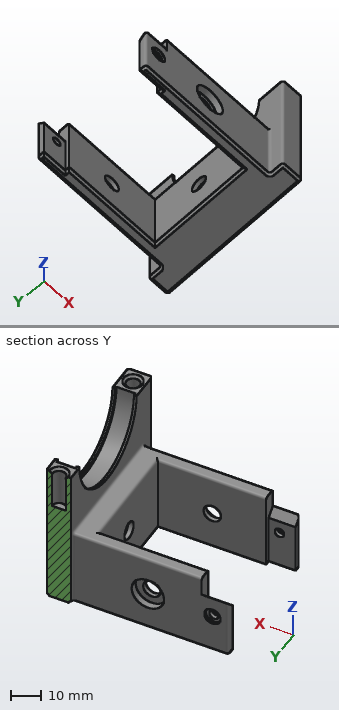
import cadquery as cq

plate_thickness = 9
plate_width = 62
plate_height = 55

bracket_length = 58
bracket_width = 50
bracket_height = 30
nominal_arm_thickness = 5
nominal_web_thickness = 8
opening_clearance = 0.2

tab_length = 10
tab_thickness = 3
tab_height = 23

seat_radius = 20
groove_radius = 21
groove_lip = 1

clamp_hole_diameter = 5
clamp_hole_depth = 15
clamp_hole_countersink = 1
countersink_taper = 45
clamp_hole_offset = 26

counterbore_floor = 2
hole_height = 15
pivot_position = 30
pivot_diameter = 6.4
pivot_counterbore_diameter = 12
tab_hole_position = 6
tab_hole_diameter = 3.4
tab_counterbore_diameter = 6
web_hole_diameter = 6.4
web_counterbore_diameter = 12

edge_radius = 1
corner_sliver = 0.001
bottom_chamfer = edge_radius - corner_sliver
selection_margin = 0.1

overall_length = bracket_length + plate_thickness
plate_center = bracket_length + plate_thickness / 2
outer_face = bracket_width / 2
arm_thickness = nominal_arm_thickness - opening_clearance
web_thickness = nominal_web_thickness - opening_clearance
opening_width = bracket_width - 2 * arm_thickness
opening_length = bracket_length - web_thickness
tab_inner_face = outer_face - tab_thickness
pivot_counterbore_depth = arm_thickness - counterbore_floor
tab_counterbore_depth = tab_thickness - counterbore_floor


def box(x_start, length, width, height):
    """Block centred on Y, standing on Z = 0 and starting at x_start."""
    block = cq.Workplane("XY").box(length, width, height, centered=(False, True, False))
    return block.translate((x_start, 0, 0))


def x_cylinder(x_start, length, radius, z):
    """Cylinder along +X in the middle plane of the part."""
    return cq.Workplane("YZ", origin=(x_start, 0, z)).circle(radius).extrude(length)


def y_hole(x, diameter, counterbore_diameter, counterbore_depth):
    """Hole across both arms, counterbored from the two outer faces."""
    base = cq.Workplane("XZ", origin=(x, outer_face, hole_height))
    cutter = base.circle(diameter / 2).extrude(bracket_width)
    pocket = base.circle(counterbore_diameter / 2).extrude(counterbore_depth)
    return cutter.union(pocket).union(pocket.mirror("XZ"))


def web_hole():
    """Hole through web and plate, counterbored from the back to leave a thin floor in the web."""
    pocket_start = opening_length + counterbore_floor
    pocket_length = overall_length - pocket_start
    hole = x_cylinder(opening_length, counterbore_floor, web_hole_diameter / 2, hole_height)
    pocket = x_cylinder(pocket_start, pocket_length, web_counterbore_diameter / 2, hole_height)
    return hole.union(pocket)


def bracket_and_plate():
    """Bracket and plate blocks with rounded upright edges, before the horizontal edges are finished."""
    bracket = box(0, bracket_length, bracket_width, bracket_height)
    bracket = bracket.edges("|Z and <X").fillet(edge_radius)
    plate = box(bracket_length, plate_thickness, plate_width, plate_height)
    plate = plate.edges("|Z").fillet(edge_radius)
    opening = box(0, opening_length, opening_width, bracket_height)
    return bracket.cut(opening).cut(tab_step()).union(plate)


def tab_step():
    """Material removed above and between the tabs, leaving sloped tab tops."""
    slope_bottom = tab_height - tab_thickness
    profile = (
        cq.Workplane("YZ")
        .moveTo(-tab_inner_face, 0)
        .lineTo(tab_inner_face, 0)
        .lineTo(tab_inner_face, slope_bottom)
        .lineTo(outer_face, tab_height)
        .lineTo(outer_face, bracket_height)
        .lineTo(-outer_face, bracket_height)
        .lineTo(-outer_face, tab_height)
        .lineTo(-tab_inner_face, slope_bottom)
        .close()
    )
    return profile.extrude(tab_length)


def finish_edges(body):
    """Round the bracket's top edges and its joint with the plate, chamfer the underside."""
    top_edges = cq.selectors.BoxSelector(
        (tab_length + selection_margin, -outer_face - selection_margin, bracket_height - selection_margin),
        (bracket_length - selection_margin, outer_face + selection_margin, bracket_height + selection_margin),
    )
    joint_edges = cq.selectors.BoxSelector(
        (bracket_length - selection_margin, -outer_face - selection_margin, selection_margin),
        (bracket_length + selection_margin, outer_face + selection_margin, bracket_height + selection_margin),
    )
    body = body.edges(top_edges).fillet(edge_radius)
    body = body.edges(joint_edges).fillet(edge_radius)
    return body.faces("<Z").chamfer(bottom_chamfer)


def clamp_seat():
    """Half-round seat with its inner groove."""
    seat = x_cylinder(bracket_length, plate_thickness, seat_radius, plate_height)
    groove_width = plate_thickness - 2 * groove_lip
    groove = x_cylinder(bracket_length + groove_lip, groove_width, groove_radius, plate_height)
    return seat.union(groove)


def drill_clamp_holes(body):
    """Countersunk blind holes on both sides of the seat."""
    countersink_diameter = clamp_hole_diameter + 2 * clamp_hole_countersink
    top = cq.Workplane("XY", origin=(plate_center, 0, plate_height))
    places = [(0, -clamp_hole_offset), (0, clamp_hole_offset)]
    holes = top.pushPoints(places).circle(clamp_hole_diameter / 2).extrude(-clamp_hole_depth)
    cone_starts = top.pushPoints(places).circle(countersink_diameter / 2)
    cones = cone_starts.extrude(-clamp_hole_countersink, taper=countersink_taper)
    return body.cut(holes).cut(cones)


pivot_holes = y_hole(pivot_position, pivot_diameter, pivot_counterbore_diameter, pivot_counterbore_depth)
tab_holes = y_hole(tab_hole_position, tab_hole_diameter, tab_counterbore_diameter, tab_counterbore_depth)

result = finish_edges(bracket_and_plate())
result = result.cut(clamp_seat())
result = drill_clamp_holes(result)
result = result.cut(pivot_holes).cut(tab_holes).cut(web_hole())